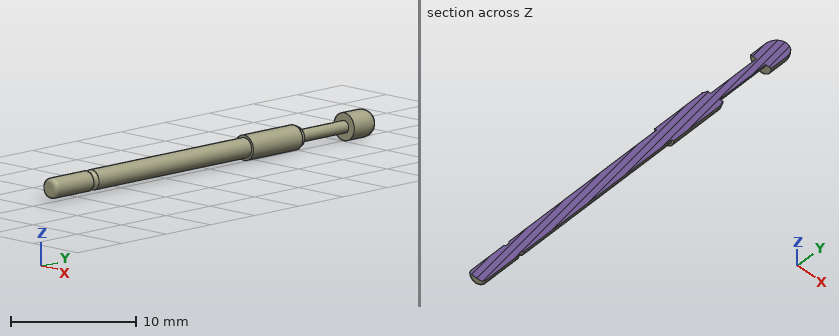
import cadquery as cq


total_length = 36.3
head_length = 2.98
plunger_length = 5.3
sleeve_length = 6.0
sleeve_taper_length = 0.45
tail_length = 4.2
groove_width = 0.58

head_radius = 2.3 / 2
plunger_radius = 1.0 / 2
sleeve_radius = 2.07 / 2
barrel_radius = 1.67 / 2
groove_radius = 0.7
tail_flat_radius = 0.9 / 2
tail_fillet = barrel_radius - tail_flat_radius

tip_y = total_length / 2
head_base_y = tip_y - head_length
sleeve_top_y = head_base_y - plunger_length
sleeve_base_y = sleeve_top_y - sleeve_length
tail_y = tip_y - total_length
tail_top_y = tail_y + tail_length
groove_middle_y = tail_top_y + groove_width / 2
groove_top_y = tail_top_y + groove_width


def rod(radius, start_y, end_y):
    """Solid cylinder on the Y axis between two stations."""
    return cq.Workplane("XZ", origin=(0, end_y, 0)).circle(radius).extrude(end_y - start_y)


def make_head():
    """Cylinder closed by a full hemisphere at the tip."""
    dome_y = tip_y - head_radius
    dome = cq.Workplane("XY").sphere(head_radius).translate((0, dome_y, 0))
    return rod(head_radius, head_base_y, dome_y).union(dome)


def make_sleeve():
    """Press-fit sleeve that tapers to the barrel radius at its upper end."""
    taper_rise = sleeve_radius - barrel_radius
    sleeve = rod(sleeve_radius, sleeve_base_y, sleeve_top_y)
    return sleeve.faces(">Y").chamfer(sleeve_taper_length, taper_rise)


def make_groove_cutter():
    """Ring whose floor is a shallow arc, deepest at the middle of the groove."""
    profile = (
        cq.Workplane("XY")
        .moveTo(barrel_radius, groove_top_y)
        .threePointArc((groove_radius, groove_middle_y), (barrel_radius, tail_top_y))
        .close()
    )
    return profile.revolve(360, (0, 0, 0), (0, 1, 0))


plunger = rod(plunger_radius, sleeve_top_y, head_base_y)
barrel = rod(barrel_radius, tail_y, sleeve_base_y).faces("<Y").edges().fillet(tail_fillet)
barrel = barrel.cut(make_groove_cutter())

result = make_head().union(plunger).union(make_sleeve()).union(barrel)